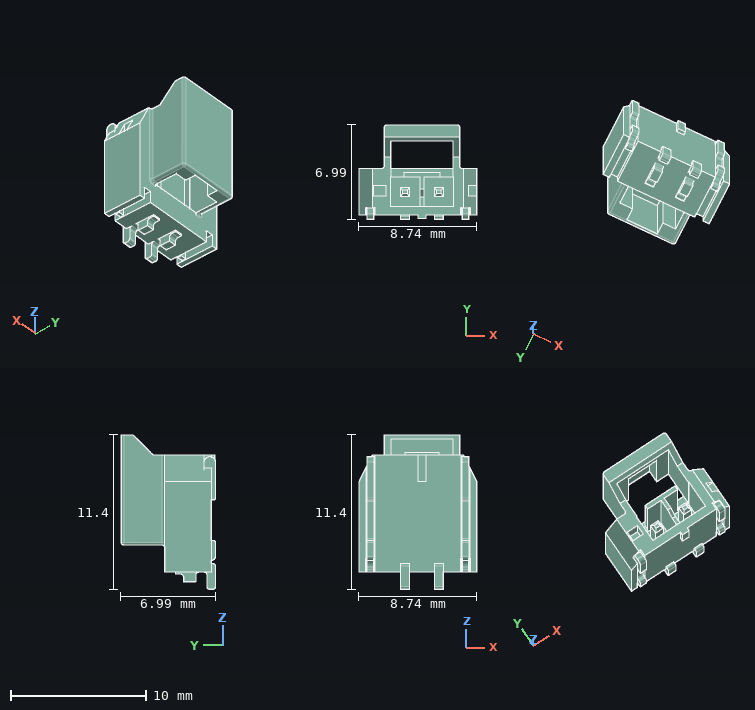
import cadquery as cq
import math


housing_width = 8.74
housing_depth = 3.46
housing_height = 8.68
shoulder_height = 6.70
shoulder_inset = 1.00

contact_pitch = 2.50
contact_axis_x = 0.30

guard_width = 5.60
guard_back = 6.68
guard_top = 10.16
guard_bottom = 2.01
guard_slope_start = 4.31
guard_fillet = 0.20
window_width = 4.59
window_back = 5.48
recess_width = 2.50
recess_back = 6.42
recess_top = 8.85

cavity_width = 4.69
cavity_front = 0.63
cavity_back = 2.82
cavity_floor = 1.40
bar_width = 2.66
bar_thickness = 0.34
divider_thickness = 0.28
divider_slope_back = 1.94
divider_slope_front = 1.33

key_width = 0.60
key_projection = 0.25

flank_pocket_width = 0.91
flank_pocket_front = 1.43
flank_pocket_back = 2.20
flank_pocket_centres = (-2.82, 4.215)

clip_centre = 3.52
clip_width = 0.51
slot_width = 0.67
slot_depth = 0.54
slot_opening_height = 1.02

metal_front = -0.31

contact_width = 0.68
leg_back = 0.34
leg_bottom = -1.27
leg_top = 0.66
leg_round = 0.21

post_front = 1.38
post_back = post_front + contact_width
post_top = 7.00
tip_height = 0.40
tip_width = 0.35
tip_depth = 0.26

foot_front = 1.14
foot_bottom = -0.71
ledge_back = 2.67
ledge_bottom = -0.13
arch_radius = 0.20
ledge_radius = 0.27
foot_round = 0.06


def block(x_range, y_range, z_range):
    """Axis-aligned box between the given limits."""
    size = [high - low for low, high in (x_range, y_range, z_range)]
    return (
        cq.Workplane("XY")
        .box(*size, centered=False)
        .translate((x_range[0], y_range[0], z_range[0]))
    )


def span(centre, width):
    """Limits of a width placed about a centre."""
    return (centre - width / 2, centre + width / 2)


def quarter(outline, centre, radius, mid_angle, end_angle):
    """Continue an outline along a round of the given centre to an end angle in degrees."""
    points = []
    for angle in (mid_angle, end_angle):
        turn = math.radians(angle)
        points.append((centre[0] + radius * math.cos(turn), centre[1] + radius * math.sin(turn)))
    return outline.threePointArc(*points)


def side_extrusion(outline, centre_x, width):
    """Close a Y-Z outline and extrude it about a given X."""
    return outline.close().extrude(width / 2, both=True).translate((centre_x, 0, 0))


def make_housing_block():
    half_width = housing_width / 2
    half_top = half_width - shoulder_inset
    return (
        cq.Workplane("XZ")
        .polyline([
            (-half_width, 0),
            (half_width, 0),
            (half_width, shoulder_height),
            (half_top, housing_height),
            (-half_top, housing_height),
            (-half_width, shoulder_height),
        ])
        .close()
        .extrude(-housing_depth)
    )


def make_guard():
    """Latch guard, rounded at its back uprights and around its lower edge."""
    root = housing_depth
    slope_end = guard_slope_start + guard_top - housing_height
    outline = cq.Workplane("YZ").polyline([
        (root, guard_bottom),
        (guard_back, guard_bottom),
        (guard_back, guard_top),
        (slope_end, guard_top),
        (guard_slope_start, housing_height),
        (root, housing_height),
    ])
    guard = side_extrusion(outline, contact_axis_x, guard_width)
    return guard.edges("(>Y and |Z) or (<Z and (not <Y))").fillet(guard_fillet)


def blend_guard(shell):
    """Fillet the inside corners where the guard meets the back of the housing."""
    margin = 0.01
    corners = cq.selectors.BoxSelector(
        (contact_axis_x - guard_width / 2 - margin, housing_depth - margin, guard_bottom - margin),
        (contact_axis_x + guard_width / 2 + margin, housing_depth + margin, housing_height + margin),
        boundingbox=True,
    )
    return shell.edges(corners).fillet(guard_fillet)


def cut_cavity(shell):
    """Open the plug cavity, the latch window and the recess in the guard's back wall."""
    above = guard_top + 1
    cavity = block(
        span(contact_axis_x, cavity_width), (cavity_front, cavity_back), (cavity_floor, above)
    )
    entry = block(
        span(contact_axis_x, window_width), (cavity_back, housing_depth), (guard_bottom, above)
    )
    window = block(span(contact_axis_x, window_width), (housing_depth, window_back), (0, above))
    recess = block(
        span(contact_axis_x, recess_width), (window_back, recess_back), (0, recess_top)
    )
    return shell.cut(cavity).cut(entry).cut(window).cut(recess)


def make_partition():
    """T-shaped wall: a bar behind the contacts and a divider between them."""
    bar = block(
        span(contact_axis_x, bar_width),
        (cavity_back, cavity_back + bar_thickness),
        (cavity_floor, housing_height),
    )
    divider_front_height = housing_height - (divider_slope_back - divider_slope_front)
    outline = cq.Workplane("YZ").polyline([
        (cavity_front, cavity_floor),
        (cavity_back, cavity_floor),
        (cavity_back, housing_height),
        (divider_slope_back, housing_height),
        (divider_slope_front, divider_front_height),
        (cavity_front, divider_front_height),
    ])
    return bar.union(side_extrusion(outline, contact_axis_x, divider_thickness))


def make_key():
    return block(
        span(contact_axis_x, key_width), (-key_projection, 0), (shoulder_height, housing_height)
    )


def make_flank_pockets():
    pockets = cq.Workplane("XY")
    for centre in flank_pocket_centres:
        pockets = pockets.union(block(
            span(centre, flank_pocket_width),
            (flank_pocket_front, flank_pocket_back),
            (shoulder_height, housing_height),
        ))
    return pockets


def make_slot(centre_x):
    """Clip slot in the front face, running right through the housing near its foot."""
    groove = block(span(centre_x, slot_width), (0, slot_depth), (0, housing_height))
    opening = block(span(centre_x, slot_width), (0, housing_depth), (0, slot_opening_height))
    return groove.union(opening)


def make_clip(centre_x):
    """Solder clip: round-headed upper pad, recessed strip, lower pad and a tail bent inward."""
    head_top = 8.55
    head_flat = 0.04
    head_radius = (slot_depth - metal_front - head_flat) / 2
    head_centre_z = head_top - head_radius
    strip_front = 0.12
    upper_pad_bottom = 5.35
    lower_pad_top = 2.36
    upper_pad_round = 0.13
    lower_pad_round = 0.17
    strip_round = 0.13
    pad_bottom_round = 0.29
    tail_bend = 0.51
    tail_front = tail_bend
    tail_back = tail_front + slot_depth - strip_front
    tail_bend_z = 0.37
    tail_round = 0.15

    outline = cq.Workplane("YZ").moveTo(slot_depth, head_centre_z)
    outline = quarter(outline, (slot_depth - head_radius, head_centre_z), head_radius, 45, 90)
    outline = outline.lineTo(metal_front + head_radius, head_top)
    outline = quarter(outline, (metal_front + head_radius, head_centre_z), head_radius, 135, 180)

    pad_round_centre = (metal_front + upper_pad_round, upper_pad_bottom + upper_pad_round)
    outline = outline.lineTo(metal_front, pad_round_centre[1])
    outline = quarter(outline, pad_round_centre, upper_pad_round, 225, 270)
    outline = outline.lineTo(strip_front - strip_round, upper_pad_bottom)
    step_centre = (strip_front - strip_round, upper_pad_bottom - strip_round)
    outline = quarter(outline, step_centre, strip_round, 45, 0)

    outline = outline.lineTo(strip_front, lower_pad_top + strip_round)
    step_centre = (strip_front - strip_round, lower_pad_top + strip_round)
    outline = quarter(outline, step_centre, strip_round, -45, -90)
    pad_round_centre = (metal_front + lower_pad_round, lower_pad_top - lower_pad_round)
    outline = outline.lineTo(pad_round_centre[0], lower_pad_top)
    outline = quarter(outline, pad_round_centre, lower_pad_round, 135, 180)

    pad_bottom = tail_bend_z + tail_bend
    pad_round_centre = (metal_front + pad_bottom_round, pad_bottom + pad_bottom_round)
    outline = outline.lineTo(metal_front, pad_round_centre[1])
    outline = quarter(outline, pad_round_centre, pad_bottom_round, 225, 270)
    outline = outline.lineTo(0, pad_bottom)
    outline = quarter(outline, (0, tail_bend_z), tail_bend, 45, 0)
    outline = outline.lineTo(tail_front, tail_round)
    outline = quarter(outline, (tail_front + tail_round, tail_round), tail_round, 225, 270)
    outline = outline.lineTo(tail_back, 0)
    outline = outline.lineTo(tail_back, slot_opening_height)
    outline = outline.lineTo(slot_depth, slot_opening_height)
    return side_extrusion(outline, centre_x, clip_width)


def make_contact(centre_x):
    """Bent contact: solder leg in front, foot below the housing and post in the cavity."""
    outline = cq.Workplane("YZ").moveTo(metal_front, leg_top - leg_round)
    outline = outline.lineTo(metal_front, leg_bottom + leg_round)
    outline = quarter(
        outline, (metal_front + leg_round, leg_bottom + leg_round), leg_round, 225, 270
    )
    outline = outline.lineTo(leg_back - leg_round, leg_bottom)
    outline = quarter(outline, (leg_back - leg_round, leg_bottom + leg_round), leg_round, -45, 0)

    outline = outline.lineTo(leg_back, -arch_radius)
    outline = quarter(outline, (leg_back + arch_radius, -arch_radius), arch_radius, 135, 90)
    outline = outline.lineTo(foot_front - arch_radius, 0)
    outline = quarter(outline, (foot_front - arch_radius, -arch_radius), arch_radius, 45, 0)

    outline = outline.lineTo(foot_front, foot_bottom + foot_round)
    foot_round_centre = (foot_front + foot_round, foot_bottom + foot_round)
    outline = quarter(outline, foot_round_centre, foot_round, 225, 270)
    outline = outline.lineTo(post_back, foot_bottom)
    outline = outline.lineTo(post_back, ledge_bottom - ledge_radius)
    ledge_bend_centre = (post_back + ledge_radius, ledge_bottom - ledge_radius)
    outline = quarter(outline, ledge_bend_centre, ledge_radius, 135, 90)
    outline = outline.lineTo(ledge_back, ledge_bottom)
    outline = outline.lineTo(ledge_back, leg_top)
    outline = outline.lineTo(metal_front + leg_round, leg_top)
    outline = quarter(outline, (metal_front + leg_round, leg_top - leg_round), leg_round, 135, 180)
    lead = side_extrusion(outline, centre_x, contact_width)

    tip_base = post_top - tip_height
    post = block(span(centre_x, contact_width), (post_front, post_back), (leg_top, tip_base))
    tip = (
        cq.Workplane("XY", origin=(centre_x, (post_front + post_back) / 2, tip_base))
        .rect(contact_width, contact_width)
        .workplane(offset=tip_height)
        .rect(tip_width, tip_depth)
        .loft()
    )
    return lead.union(post).union(tip)


shell = blend_guard(make_housing_block().union(make_guard()))
shell = cut_cavity(shell)
shell = shell.union(make_partition()).union(make_key()).cut(make_flank_pockets())

for side in (-1, 1):
    shell = shell.cut(make_slot(side * clip_centre)).union(make_clip(side * clip_centre))

for side in (-1, 1):
    shell = shell.union(make_contact(contact_axis_x + side * contact_pitch / 2))

result = shell